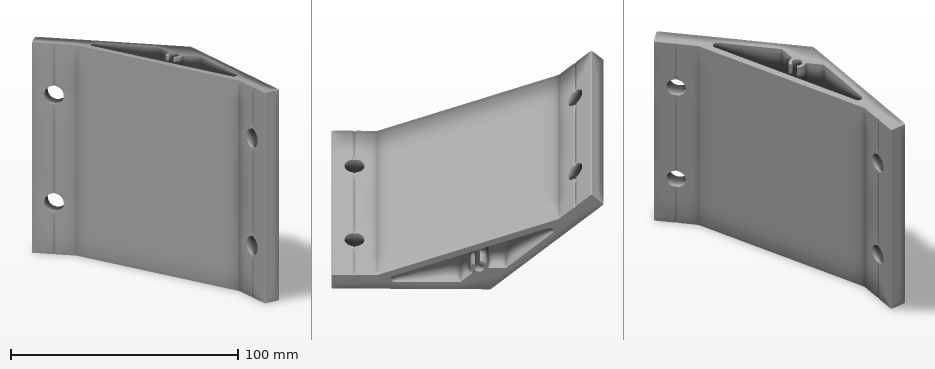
import cadquery as cq
import math

span = 129.0
height = 98.0
arm_slope = 22.5
arm_thickness = 7.9
end_rounding = 0.5
pad_inner_x = 43.1
wall_thickness = 4.0
web_thickness = 3.1
cavity_corner_radius = 1.8
block_corner_rounding = 0.5
ridge_block_x = 10.8
clip_center_y = -13.5
clip_outer_radius = 3.7
clip_bore_radius = 2.3
clip_half_opening = 30.0
groove_width = 2.0
groove_wall_angle = 22.5
hole_diameter = 8.8
hole_spacing = 50.1

slope = math.radians(arm_slope)
rise = math.tan(slope)

rounding_loss = end_rounding * (math.sin(slope) + math.cos(slope) - 1)
tip_x = span / 2 + rounding_loss
tip_y = -tip_x * rise
toe_x = tip_x - arm_thickness * math.sin(slope)
toe_y = tip_y - arm_thickness * math.cos(slope)

web_front_y = toe_y + (toe_x - pad_inner_x) * rise
web_back_y = web_front_y + web_thickness

wall_apex_y = -wall_thickness / math.cos(slope)
block_corner_y = wall_apex_y - ridge_block_x * rise

pad_mid_x = (pad_inner_x + toe_x) / 2
pad_mid_y = (web_front_y + toe_y) / 2


def prism(points):
    """Extrude a closed outline over the full height, centred on Z = 0."""
    return cq.Workplane("XY").polyline(points).close().extrude(height / 2, both=True)


def clip_cylinder(radius):
    """Full-height cylinder on the axis of the screw channel."""
    return cq.Workplane("XY").center(0, clip_center_y).circle(radius).extrude(height / 2, both=True)


def mirrored(points):
    """Close a right-hand outline with its mirror image across X = 0; points on X = 0 stay single."""
    return points + [(-x, y) for x, y in reversed(points) if x > 0]


def make_body():
    body = prism(mirrored([(pad_inner_x, web_front_y), (toe_x, toe_y), (tip_x, tip_y), (0, 0)]))
    for side in (-1, 1):
        for x, y in ((tip_x, tip_y), (toe_x, toe_y)):
            corner = cq.selectors.NearestToPointSelector((side * x, y, 0))
            body = body.edges("|Z").edges(corner).fillet(end_rounding)
    return body


def make_cavity():
    """Triangular opening, with the ridge block hanging into its top."""
    block_point_y = block_corner_y - ridge_block_x * rise
    corner_x = (wall_apex_y - web_back_y) / rise
    cavity = prism(mirrored([
        (corner_x, web_back_y),
        (ridge_block_x, block_corner_y),
        (0, block_point_y),
    ]))
    cavity = cavity.edges("|Z and (<X or >X)").fillet(cavity_corner_radius)
    return cavity.edges("|Z and >Y").fillet(block_corner_rounding)


def make_clip():
    """C-shaped screw channel below the ridge block, open towards the front web."""
    stem_height = block_corner_y - clip_center_y
    stem = (
        cq.Workplane("XY")
        .center(0, clip_center_y + stem_height / 2)
        .rect(2 * clip_outer_radius, stem_height)
        .extrude(height / 2, both=True)
    )
    mouth_depth = 2 * clip_outer_radius
    mouth_half_width = mouth_depth * math.tan(math.radians(clip_half_opening))
    mouth_y = clip_center_y - mouth_depth
    mouth = prism([(0, clip_center_y), (mouth_half_width, mouth_y), (-mouth_half_width, mouth_y)])
    return clip_cylinder(clip_outer_radius).union(stem).cut(mouth)


def make_pad_cuts():
    """Centring groove and two through holes of the right-hand mounting pad."""
    half_groove = groove_width / 2
    groove_depth = half_groove * math.tan(math.radians(groove_wall_angle))
    groove = prism([(-half_groove, 0), (half_groove, 0), (0, groove_depth)])
    hole_length = 3 * arm_thickness
    holes = (
        cq.Workplane("XZ", origin=(0, -arm_thickness, 0))
        .pushPoints([(0, -hole_spacing / 2), (0, hole_spacing / 2)])
        .circle(hole_diameter / 2)
        .extrude(-hole_length)
    )
    cuts = groove.union(holes)
    return cuts.rotate((0, 0, 0), (0, 0, 1), -arm_slope).translate((pad_mid_x, pad_mid_y, 0))


pad_cuts = make_pad_cuts()
result = make_body().cut(make_cavity()).union(make_clip())
result = result.cut(clip_cylinder(clip_bore_radius))
result = result.cut(pad_cuts).cut(pad_cuts.mirror("YZ"))